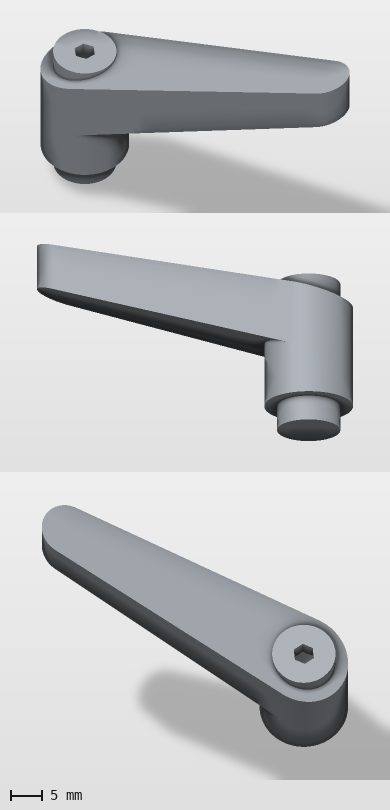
import cadquery as cq
import math


hub_radius = 7.0
tip_radius = 4.0
overall_length = 52.0
tip_center_x = overall_length - hub_radius - tip_radius
tip_end_x = tip_center_x + tip_radius

hub_bottom_z = 4.0
tip_top_z = 35.69
arm_top_angle = 16.3
arm_bottom_angle = 20.0
arm_bottom_z_at_axis = 12.15

screw_radius = 5.0
screw_top_z = 24.5

hex_sides = 6
hex_across_flats = 3.0
hex_across_corners = hex_across_flats / math.cos(math.pi / hex_sides)
hex_depth = 3.0
drill_point_angle = 120.0


def cylinder(radius, bottom_z, top_z):
    """Solid cylinder on the hub axis."""
    return cq.Workplane("XY").workplane(offset=bottom_z).circle(radius).extrude(top_z - bottom_z)


def arm_plan(height):
    """Two end circles joined by their outer tangents, extruded up from Z = 0."""
    normal_angle = math.acos((hub_radius - tip_radius) / tip_center_x)
    normal_x = math.cos(normal_angle)
    normal_y = math.sin(normal_angle)
    hub_tangent = (hub_radius * normal_x, hub_radius * normal_y)
    tip_tangent = (tip_center_x + tip_radius * normal_x, tip_radius * normal_y)
    return (
        cq.Workplane("XY")
        .moveTo(*hub_tangent)
        .lineTo(*tip_tangent)
        .threePointArc((tip_end_x, 0), (tip_tangent[0], -tip_tangent[1]))
        .lineTo(hub_tangent[0], -hub_tangent[1])
        .threePointArc((-hub_radius, 0), hub_tangent)
        .close()
        .extrude(height)
    )


def side_prism(points):
    """Side profile in XZ, extruded across the full width of the hub."""
    return cq.Workplane("XZ").polyline(points).close().extrude(hub_radius, both=True)


def arm_top_z(x):
    return tip_top_z - (tip_end_x - x) * math.tan(math.radians(arm_top_angle))


def arm_bottom_z(x):
    return arm_bottom_z_at_axis + x * math.tan(math.radians(arm_bottom_angle))


def lever():
    """Arm between its two sloped faces, merged with the hub below its top slope."""
    arm_profile = [
        (-hub_radius, arm_bottom_z(-hub_radius)),
        (tip_end_x, arm_bottom_z(tip_end_x)),
        (tip_end_x, tip_top_z),
        (-hub_radius, arm_top_z(-hub_radius)),
    ]
    hub_profile = [
        (-hub_radius, hub_bottom_z),
        (hub_radius, hub_bottom_z),
        (hub_radius, arm_top_z(hub_radius)),
        (-hub_radius, arm_top_z(-hub_radius)),
    ]
    arm = arm_plan(tip_top_z).intersect(side_prism(arm_profile))
    hub = cylinder(hub_radius, hub_bottom_z, tip_top_z).intersect(side_prism(hub_profile))
    return hub.union(arm)


def hex_socket():
    """Hexagonal socket with corners on X, ending in a cone that meets the corners."""
    corner_radius = hex_across_corners / 2
    cone_height = corner_radius / math.tan(math.radians(drill_point_angle / 2))
    cone_base_z = screw_top_z - hex_depth
    prism = (
        cq.Workplane("XY")
        .workplane(offset=screw_top_z)
        .polygon(hex_sides, hex_across_corners)
        .extrude(-(hex_depth + cone_height))
    )
    pointed_envelope = (
        cq.Workplane("XZ")
        .moveTo(0, cone_base_z - cone_height)
        .lineTo(corner_radius, cone_base_z)
        .lineTo(corner_radius, screw_top_z)
        .lineTo(0, screw_top_z)
        .close()
        .revolve(360, (0, 0), (0, 1))
    )
    return prism.intersect(pointed_envelope)


screw = cylinder(screw_radius, 0, screw_top_z)
result = lever().union(screw).cut(hex_socket())